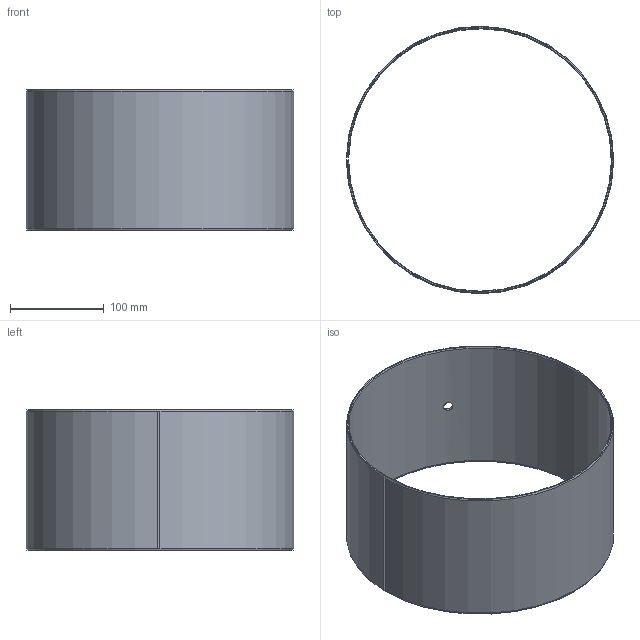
import cadquery as cq
import math

outer_diameter = 285.0
wall = 2.5
height = 150.0

bevel_depth = 0.65
bevel_height = 1.8

gap_angle = 1.0
band_start_angle = 180.0
band_sweep = 360.0 - gap_angle
band_end_angle = band_start_angle + band_sweep

hole_diameter = 10.0
hole_height = height / 2
hole_angle_from_end = 120.0
hole_angle = band_end_angle - hole_angle_from_end

outer_radius = outer_diameter / 2
inner_radius = outer_radius - wall


def make_band():
    """Open ring on Z = 0: the bevelled wall section swept around the Z axis."""
    wall_section = (
        cq.Workplane("XZ")
        .moveTo(inner_radius + bevel_depth, 0)
        .lineTo(outer_radius - bevel_depth, 0)
        .lineTo(outer_radius, bevel_height)
        .lineTo(outer_radius, height - bevel_height)
        .lineTo(outer_radius - bevel_depth, height)
        .lineTo(inner_radius + bevel_depth, height)
        .lineTo(inner_radius, height - bevel_height)
        .lineTo(inner_radius, bevel_height)
        .close()
    )
    band = wall_section.revolve(band_sweep, (0, 0, 0), (0, 1, 0))
    return band.rotate((0, 0, 0), (0, 0, 1), band_start_angle)


def make_hole():
    """Radial drill that passes through the wall with one wall thickness to spare each side."""
    angle = math.radians(hole_angle)
    direction = cq.Vector(math.cos(angle), math.sin(angle), 0)
    start = direction * (inner_radius - wall) + cq.Vector(0, 0, hole_height)
    drill = cq.Solid.makeCylinder(hole_diameter / 2, 3 * wall, start, direction)
    return cq.Workplane(drill)


result = make_band().cut(make_hole())